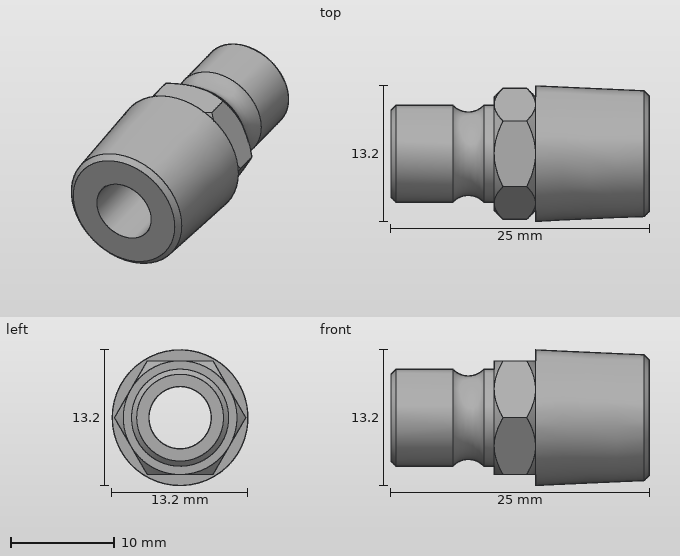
import cadquery as cq
import math

total_length = 25.0
groove_start = 6.0
groove_end = 9.0
hex_start = 10.0
hex_end = 14.0
end_chamfer = 0.5

plug_radius = 4.7
groove_floor_radius = 4.05
hex_across_flats = 11.0
thread_large_radius = 6.58
thread_small_radius = 6.1
bore_radius = 3.0

hex_corner_radius = hex_across_flats / math.sqrt(3)
hex_flat_radius = hex_across_flats / 2


def revolve_about_x(profile):
    """Turn a closed (x, radius) profile into a solid of revolution about X."""
    return profile.close().revolve(360, (0, 0, 0), (1, 0, 0))


def make_plug():
    """Cylindrical plug with a chamfered tip and a round locking groove."""
    groove_middle = (groove_start + groove_end) / 2
    profile = (
        cq.Workplane("XY")
        .lineTo(0, plug_radius - end_chamfer)
        .lineTo(end_chamfer, plug_radius)
        .lineTo(groove_start, plug_radius)
        .threePointArc((groove_middle, groove_floor_radius), (groove_end, plug_radius))
        .lineTo(hex_start, plug_radius)
        .lineTo(hex_start, 0)
    )
    return revolve_about_x(profile)


def make_hex():
    """Hexagon with flats facing +Z and -Z, its corners turned off at 45 degrees on both ends."""
    hex_length = hex_end - hex_start
    prism = (
        cq.Workplane("YZ", origin=(hex_start, 0, 0))
        .polygon(6, 2 * hex_corner_radius)
        .extrude(hex_length)
    )
    corner_chamfer = hex_corner_radius - hex_flat_radius
    turned_blank = (
        cq.Workplane("YZ", origin=(hex_start, 0, 0))
        .circle(hex_corner_radius)
        .extrude(hex_length)
        .edges("%CIRCLE")
        .chamfer(corner_chamfer)
    )
    return prism.intersect(turned_blank)


def make_thread_body():
    """Tapered thread envelope with a chamfered outer end."""
    taper_end = total_length - end_chamfer
    profile = (
        cq.Workplane("XY")
        .moveTo(hex_end, 0)
        .lineTo(hex_end, thread_large_radius)
        .lineTo(taper_end, thread_small_radius)
        .lineTo(total_length, thread_small_radius - end_chamfer)
        .lineTo(total_length, 0)
    )
    return revolve_about_x(profile)


bore = cq.Workplane("YZ").circle(bore_radius).extrude(total_length)

result = make_plug().union(make_hex()).union(make_thread_body()).cut(bore)